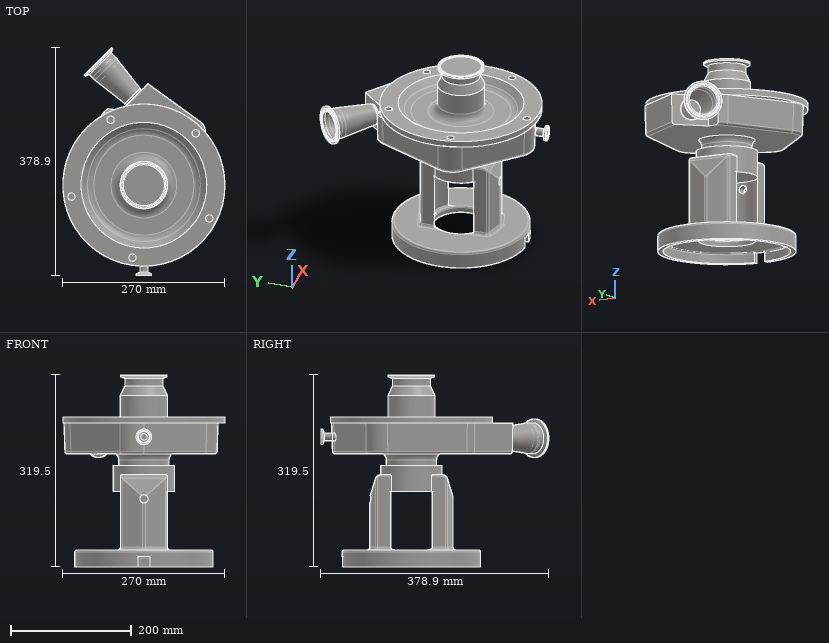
import cadquery as cq
import math

BASE_R = 115.0
BASE_TOP = 28.8
BASE_EDGE_FILLET = 3.5
BASE_RECESS_R = 106.0
BASE_RECESS_DEPTH = 17.5
BASE_RECESS_FILLET = 2.3
BASE_BORE_R = 47.0
BASE_BORE_ROUND = 2.3
NOTCH_WIDTH = 19.7
NOTCH_HEIGHT = BASE_RECESS_DEPTH

LEG_HALF_WIDTH = 39.0
LEG_RIDGE_Y = 69.7
LEG_CORNER_Y = 59.0
LEG_BORE_R = 52.0
LEG_TOP = 154.0
LEG_FACET_BOTTOM = 115.5
LEG_FACET_TILT = 17.0
LEG_RIDGE_FILLET = 10.0
LEG_CORNER_FILLET = 3.8
LEG_FOOT_FILLET = 4.5
LEG_TOP_FILLET = 9.0
LEG_SIDE_FILLET = 2.3
LEG_HOLE_R = 7.0
LEG_HOLE_Z = 113.5

HUB_R = 51.0
HUB_BOTTOM = 125.8
HUB_TOP = 169.5
NECK_R = 42.0
NECK_TOP = 178.0
NECK_FLARE_R = 13.3

SIDES = 5
FIRST_CORNER_ANGLE = 45.0
CASING_APOTHEM = 115.0
CASING_BOTTOM = 188.3
CASING_TOP = 239.5
CASING_DRAFT = 1.5
CASING_BOTTOM_FILLET = 4.5
CORNER_FILLET = 34.5
OUTLET_CORNER_FILLET = 19.0
SHOULDER_START = (-71.0, 114.8)
SHOULDER_SWEEP = 28.0
OUTLET_BLOCK_TIP = (7.0, 168.5)
OUTLET_BLOCK_SPARE = 0.2

FLANGE_R = 135.0
FLANGE_TOP = 250.0
BOLT_CIRCLE_R = 122.0
BOLT_R = 6.0

POCKET_TOP_R = 104.5
POCKET_FILLET = 15.0
POCKET_FLOOR = FLANGE_TOP - POCKET_FILLET
POCKET_WALL_TILT = 45.0

INLET_R = 39.5
INLET_CONE_BOTTOM = 285.3
INLET_CONE_TOP = 301.2
INLET_TUBE_R = 32.0
INLET_TOP = 319.5
INLET_CLAMP_R = 38.5
INLET_GROOVE = (34.0, 36.5)

OUTLET_ANGLE = 135.0
OUTLET_Z = 214.5
OUTLET_OFFSET = 91.3
OUTLET_FACE = 199.5
OUTLET_TUBE_LENGTH = 18.5
OUTLET_TUBE_R = 25.8
OUTLET_CONE_END = 118.2
OUTLET_CONE_R = 18.0
OUTLET_NECK_R = 16.5
OUTLET_NECK = 115.0
OUTLET_ROOT = 106.0
OUTLET_CLAMP_R = 32.2
OUTLET_BORE_R = 24.0
OUTLET_BORE_STRAIGHT = 12.5
OUTLET_BORE_THROAT_R = 22.7
OUTLET_BORE_THROAT_DEPTH = 25.8
OUTLET_BORE_END_R = 16.0
OUTLET_GROOVE = (26.5, 28.8)

DRAIN_Z = 216.7
DRAIN_FACE = 150.5
DRAIN_ROOT = 121.2
DRAIN_TUBE_R = 7.0
DRAIN_CLAMP_R = 13.0
DRAIN_BORE_R = 5.3
DRAIN_BORE_DEPTH = 19.0
DRAIN_GROOVE = (9.0, 10.5)

CLAMP_RIM = 3.0
CLAMP_BACK = 2.5
GROOVE_DEPTH = 0.8

EDGE_REACH = 7.5


def polar(radius, angle):
    a = math.radians(angle)
    return (radius * math.cos(a), radius * math.sin(a))


def cylinder(radius, bottom, top):
    return cq.Workplane("XY").workplane(offset=bottom).circle(radius).extrude(top - bottom)


def revolved(points):
    """Spin a closed (radius, height) outline about the Z axis."""
    return cq.Workplane("XZ").polyline(points).close().revolve(360, (0, 0), (0, 1))


def clamp_end(face, rim_r, tube_r):
    """Outline of a clamp ferrule, from the centre of its face to its tube."""
    return [
        (0, face),
        (rim_r, face),
        (rim_r, face - CLAMP_RIM),
        (tube_r, face - CLAMP_RIM - CLAMP_BACK),
    ]


def clamp_groove(face, radii):
    inner, outer = radii
    return cylinder(outer, face - GROOVE_DEPTH, face).cut(cylinder(inner, face - GROOVE_DEPTH, face))


def upright_edge_at(x, y):
    """Select the upright edge whose middle lies near (x, y); level edges are left out."""
    low = (x - EDGE_REACH, y - EDGE_REACH, 0)
    high = (x + EDGE_REACH, y + EDGE_REACH, FLANGE_TOP)
    box = cq.selectors.BoxSelector(low, high)
    return box - cq.selectors.PerpendicularDirSelector(cq.Vector(0, 0, 1))


def make_leg():
    """Front leg: a block with a ridged outer side, still filled towards the axis."""
    height = LEG_TOP - BASE_TOP
    leg = (
        cq.Workplane("XY")
        .workplane(offset=BASE_TOP)
        .polyline([
            (-LEG_HALF_WIDTH, 0),
            (LEG_HALF_WIDTH, 0),
            (LEG_HALF_WIDTH, -LEG_CORNER_Y),
            (0, -LEG_RIDGE_Y),
            (-LEG_HALF_WIDTH, -LEG_CORNER_Y),
        ])
        .close()
        .extrude(height)
    )
    setback = (LEG_TOP - LEG_FACET_BOTTOM) * math.tan(math.radians(LEG_FACET_TILT))
    facet = (
        cq.Workplane("YZ")
        .polyline([
            (-LEG_RIDGE_Y, LEG_FACET_BOTTOM),
            (-LEG_RIDGE_Y + setback, LEG_TOP),
            (-LEG_RIDGE_Y, LEG_TOP),
        ])
        .close()
        .extrude(LEG_HALF_WIDTH, both=True)
    )
    leg = leg.edges(upright_edge_at(0, -LEG_RIDGE_Y)).fillet(LEG_RIDGE_FILLET)
    for side in (-1, 1):
        leg = leg.edges(upright_edge_at(side * LEG_HALF_WIDTH, -LEG_CORNER_Y)).fillet(LEG_CORNER_FILLET)
    leg = leg.cut(facet)
    leg = leg.faces(">Z").edges("<Y").fillet(LEG_TOP_FILLET)
    return leg.faces(">Z").edges("|Y").fillet(LEG_SIDE_FILLET)


def make_stand():
    base = cylinder(BASE_R, 0, BASE_TOP).faces(">Z").edges().fillet(BASE_EDGE_FILLET)
    leg = make_leg()
    stand = base.union(leg).union(leg.rotate((0, 0, 0), (0, 0, 1), 180))
    foot = cq.selectors.BoxSelector(
        (-LEG_HALF_WIDTH - EDGE_REACH, -LEG_RIDGE_Y - EDGE_REACH, BASE_TOP - BASE_EDGE_FILLET / 2),
        (LEG_HALF_WIDTH + EDGE_REACH, LEG_RIDGE_Y + EDGE_REACH, BASE_TOP + BASE_EDGE_FILLET / 2),
    )
    stand = stand.edges(foot).fillet(LEG_FOOT_FILLET)
    lip_r = BASE_BORE_R + BASE_BORE_ROUND
    cove = LEG_BORE_R - lip_r
    bore = (
        cq.Workplane("XZ")
        .moveTo(0, 0)
        .lineTo(BASE_BORE_R, 0)
        .lineTo(BASE_BORE_R, BASE_TOP - BASE_BORE_ROUND)
        .radiusArc((lip_r, BASE_TOP), BASE_BORE_ROUND)
        .radiusArc((LEG_BORE_R, BASE_TOP + cove), -cove)
        .lineTo(LEG_BORE_R, HUB_BOTTOM)
        .lineTo(0, HUB_BOTTOM)
        .close()
        .revolve(360, (0, 0), (0, 1))
    )
    recess = cylinder(BASE_RECESS_R, 0, BASE_RECESS_DEPTH).faces(">Z").edges().fillet(BASE_RECESS_FILLET)
    notch = cq.Workplane("XY").box(NOTCH_WIDTH, BASE_R, NOTCH_HEIGHT, centered=(True, False, False))
    hole = cq.Workplane("XZ").center(0, LEG_HOLE_Z).circle(LEG_HOLE_R).extrude(BASE_R)
    stand = stand.cut(bore).cut(recess).cut(notch.translate((0, -BASE_R, 0))).cut(hole)
    return stand.union(cylinder(HUB_R, HUB_BOTTOM, HUB_TOP))


def make_neck():
    flare_top = NECK_TOP + NECK_FLARE_R
    return (
        cq.Workplane("XZ")
        .moveTo(0, HUB_TOP)
        .lineTo(NECK_R, HUB_TOP)
        .lineTo(NECK_R, NECK_TOP)
        .radiusArc((NECK_R + NECK_FLARE_R, flare_top), NECK_FLARE_R)
        .lineTo(0, flare_top)
        .close()
        .revolve(360, (0, 0), (0, 1))
    )


def make_casing():
    """Tapered five-sided casing whose side facing the outlet grows out into a wedge-shaped block."""
    turn = 360 / SIDES
    corner_r = CASING_APOTHEM / math.cos(math.pi / SIDES)
    corners = [polar(corner_r, FIRST_CORNER_ANGLE + turn * i) for i in range(SIDES)]
    side_normal = FIRST_CORNER_ANGLE + 1.5 * turn
    start_x, start_y = SHOULDER_START
    to_start_x, to_start_y = polar(CORNER_FILLET, side_normal)

    def on_shoulder(sweep):
        x, y = polar(CORNER_FILLET, side_normal - sweep)
        return (start_x - to_start_x + x, start_y - to_start_y + y)

    shoulder_end = on_shoulder(SHOULDER_SWEEP)
    right_x, right_y = corners[0]
    tip_x, tip_y = OUTLET_BLOCK_TIP
    overlong_tip = (
        tip_x + (tip_x - right_x) * OUTLET_BLOCK_SPARE,
        tip_y + (tip_y - right_y) * OUTLET_BLOCK_SPARE,
    )
    casing = (
        cq.Workplane("XY")
        .workplane(offset=CASING_TOP)
        .polyline([SHOULDER_START] + corners[2:] + [corners[0], overlong_tip, shoulder_end])
        .threePointArc(on_shoulder(SHOULDER_SWEEP / 2), SHOULDER_START)
        .close()
        .extrude(CASING_BOTTOM - CASING_TOP, taper=CASING_DRAFT)
    )

    for corner in corners[2:]:
        casing = casing.edges(upright_edge_at(*corner)).fillet(CORNER_FILLET)
    casing = casing.edges(upright_edge_at(*corners[0])).fillet(OUTLET_CORNER_FILLET)
    casing = casing.faces("<Z").edges().fillet(CASING_BOTTOM_FILLET)

    slope = math.tan(math.radians(FIRST_CORNER_ANGLE + turn / 2 - 90))
    end_x, end_y = shoulder_end
    foot_x = (end_y - slope * end_x - tip_y + tip_x) / (1 - slope)
    foot_y = foot_x + tip_y - tip_x
    corner_cut = (
        cq.Workplane("XY")
        .workplane(offset=CASING_BOTTOM)
        .polyline([
            (foot_x, foot_y),
            (foot_x + FLANGE_R, foot_y + FLANGE_R),
            (foot_x - FLANGE_R, foot_y - slope * FLANGE_R),
        ])
        .close()
        .extrude(CASING_TOP - CASING_BOTTOM)
    )
    casing = casing.cut(corner_cut)
    return casing.union(cylinder(FLANGE_R, CASING_TOP, FLANGE_TOP))


def make_pocket():
    """Dished recess in the flange: its flat floor is rounded up to a sloping wall and to the inlet."""
    tilt = math.radians(POCKET_WALL_TILT)
    bend = POCKET_FILLET * math.sin(tilt)
    lift = POCKET_FILLET * (1 - math.cos(tilt))
    wall_foot = POCKET_TOP_R - (FLANGE_TOP - POCKET_FLOOR) / math.tan(tilt)
    floor_end = wall_foot - POCKET_FILLET * math.tan(tilt / 2)
    return (
        cq.Workplane("XZ")
        .moveTo(INLET_R, FLANGE_TOP)
        .radiusArc((INLET_R + POCKET_FILLET, POCKET_FLOOR), -POCKET_FILLET)
        .lineTo(floor_end, POCKET_FLOOR)
        .radiusArc((floor_end + bend, POCKET_FLOOR + lift), -POCKET_FILLET)
        .lineTo(POCKET_TOP_R, FLANGE_TOP)
        .close()
        .revolve(360, (0, 0), (0, 1))
    )


def make_bolt_holes():
    places = [polar(BOLT_CIRCLE_R, FIRST_CORNER_ANGLE + 360 / SIDES * i) for i in range(SIDES)]
    return (
        cq.Workplane("XY")
        .workplane(offset=CASING_TOP)
        .pushPoints(places)
        .circle(BOLT_R)
        .extrude(FLANGE_TOP - CASING_TOP)
    )


def make_inlet():
    outline = clamp_end(INLET_TOP, INLET_CLAMP_R, INLET_TUBE_R) + [
        (INLET_TUBE_R, INLET_CONE_TOP),
        (INLET_R, INLET_CONE_BOTTOM),
        (INLET_R, POCKET_FLOOR),
        (0, POCKET_FLOOR),
    ]
    return revolved(outline).cut(clamp_groove(INLET_TOP, INLET_GROOVE))


def place_outlet(shape):
    x, y = polar(OUTLET_OFFSET, OUTLET_ANGLE - 90)
    tilted = shape.rotate((0, 0, 0), (0, 1, 0), 90).rotate((0, 0, 0), (0, 0, 1), OUTLET_ANGLE)
    return tilted.translate((x, y, OUTLET_Z))


def make_outlet():
    outline = clamp_end(OUTLET_FACE, OUTLET_CLAMP_R, OUTLET_TUBE_R) + [
        (OUTLET_TUBE_R, OUTLET_FACE - OUTLET_TUBE_LENGTH),
        (OUTLET_CONE_R, OUTLET_CONE_END),
        (OUTLET_NECK_R, OUTLET_NECK),
        (OUTLET_NECK_R, OUTLET_ROOT),
        (0, OUTLET_ROOT),
    ]
    return place_outlet(revolved(outline).cut(clamp_groove(OUTLET_FACE, OUTLET_GROOVE)))


def make_outlet_bore():
    outline = [
        (0, OUTLET_FACE),
        (OUTLET_BORE_R, OUTLET_FACE),
        (OUTLET_BORE_R, OUTLET_FACE - OUTLET_BORE_STRAIGHT),
        (OUTLET_BORE_THROAT_R, OUTLET_FACE - OUTLET_BORE_THROAT_DEPTH),
        (OUTLET_BORE_END_R, OUTLET_CONE_END),
        (0, OUTLET_CONE_END),
    ]
    return place_outlet(revolved(outline))


def make_drain():
    outline = clamp_end(DRAIN_FACE, DRAIN_CLAMP_R, DRAIN_TUBE_R) + [
        (DRAIN_TUBE_R, DRAIN_ROOT),
        (0, DRAIN_ROOT),
    ]
    bore = cylinder(DRAIN_BORE_R, DRAIN_FACE - DRAIN_BORE_DEPTH, DRAIN_FACE)
    drain = revolved(outline).cut(clamp_groove(DRAIN_FACE, DRAIN_GROOVE)).cut(bore)
    return drain.rotate((0, 0, 0), (1, 0, 0), 90).translate((0, 0, DRAIN_Z))


result = (
    make_casing()
    .cut(make_pocket())
    .cut(make_bolt_holes())
    .union(make_inlet())
    .union(make_outlet())
    .cut(make_outlet_bore())
    .union(make_drain())
    .union(make_neck())
    .union(make_stand())
)